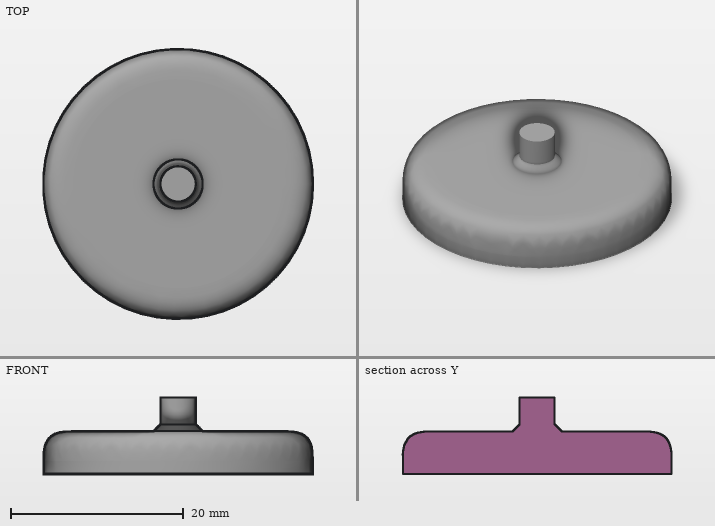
import cadquery as cq

lip_diameter = 31.26
lip_height = 0.1
disc_diameter = 31.2
disc_height = 5.0
rim_round = 3.5
rim_handle = 1.5

stem_diameter = 4.1
total_height = 8.9
collar_size = 0.8


def make_body():
    """Lip, disc wall, rounded rim, collar and stem as one profile revolved about Z."""
    lip_radius = lip_diameter / 2
    disc_radius = disc_diameter / 2
    stem_radius = stem_diameter / 2
    rim_start_height = disc_height - rim_round
    flat_top_radius = disc_radius - rim_round
    rim_curve = [
        (disc_radius, rim_start_height),
        (disc_radius, rim_start_height + rim_handle),
        (disc_radius, disc_height),
        (flat_top_radius + rim_handle, disc_height),
        (flat_top_radius, disc_height),
    ]
    profile = (
        cq.Workplane("XZ")
        .lineTo(lip_radius, 0)
        .lineTo(lip_radius, lip_height)
        .lineTo(disc_radius, lip_height)
        .lineTo(disc_radius, rim_start_height)
        .bezier(rim_curve)
        .lineTo(stem_radius + collar_size, disc_height)
        .lineTo(stem_radius, disc_height + collar_size)
        .lineTo(stem_radius, total_height)
        .lineTo(0, total_height)
        .close()
    )
    return profile.revolve(360, (0, 0, 0), (0, 1, 0))


result = make_body()